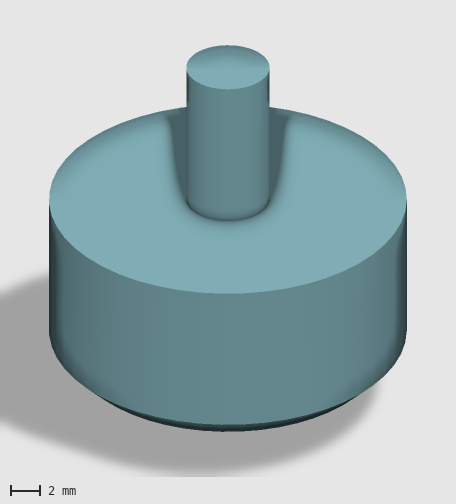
import cadquery as cq

total_height = 25.4
body_diameter = 24.0
pin_diameter = 5.6
pin_length = 10.41
chamfer_size = 1.47
cone_height = 3.15

body_radius = body_diameter / 2
pin_radius = pin_diameter / 2
cone_radius = body_radius - chamfer_size
chamfer_top = cone_height + chamfer_size
shoulder_height = total_height - pin_length

half_profile = (
    cq.Workplane("XZ")
    .moveTo(0, 0)
    .lineTo(cone_radius, cone_height)
    .lineTo(body_radius, chamfer_top)
    .lineTo(body_radius, shoulder_height)
    .lineTo(pin_radius, shoulder_height)
    .lineTo(pin_radius, total_height)
    .lineTo(0, total_height)
    .close()
)

result = half_profile.revolve(360, (0, 0, 0), (0, 1, 0))